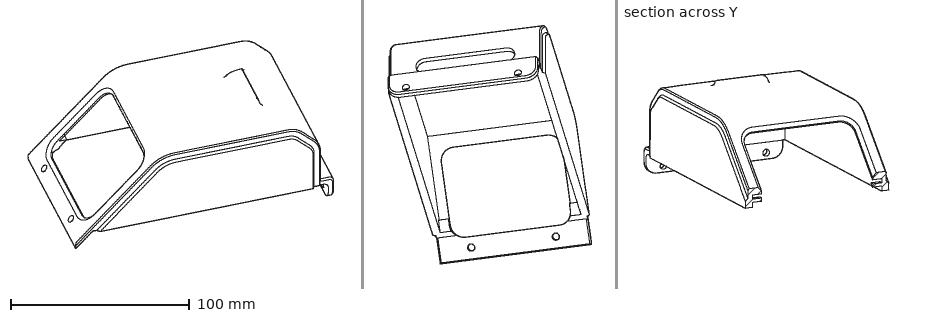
import cadquery as cq
import math


WALL = 3.0
HALF_WIDTH = 43.2
SIDE_HEIGHT = 43.5
CROWN_RISE = 0.25
REAR_BEVEL_Z = 29.3
SLOPE_ANGLE = 45.0
REAR_ROUND = 12.0
FRONT_ROUND = 20.5
SLOPE_FOOT = 137.8
SIDE_CHAMFER = 0.8
TOTAL_HEIGHT = 59.34
INNER_BEVEL_Z = 22.0

LIP_REACH = 144.47
LIP_BOTTOM = -10.0
LIP_ROUND = 3.4
LIP_ROOT_Z = 2.0

PANEL_INSET = 4.0
PANEL_RISE = 1.6
PANEL_BEVEL = 1.1
LEDGE_Z = 10.1
LEDGE_HEIGHT = 0.5
LEDGE_DEPTH = 0.1

WINDOW_WIDTH = 73.5
WINDOW_LENGTH = 55.4
WINDOW_CENTRE_Z = 19.0
WINDOW_CORNER = 10.0
WINDOW_DEPTH = 10.0
WINDOW_BEVEL_DEPTH = 1.8
WINDOW_BEVEL_INSET = 2.2

PAD_THICKNESS = 3.0
PAD_HEIGHT = 5.0
PAD_INNER_X = 30.0

HOLE_OFFSET_X = 0.3
LIP_HOLE_DIAMETER = 4.0
LIP_HOLE_SPACING = 48.3
LIP_HOLE_Z = -3.4
SLOT_LENGTH = 56.4
SLOT_HEIGHT = 10.2
SLOT_Z = 12.8

TAB_REACH = 8.1
TAB_TOP = 3.5
TAB_BOTTOM = -12.2
TAB_HALF_WIDTH = 42.7
TAB_THICKNESS = 3.5
TAB_OUTER_ROUND = 3.0
TAB_INNER_ROUND = 3.0
TAB_ROOT_ROUND = 1.2
TAB_CORNER = 6.6
TAB_CHAMFER = 1.0
TAB_HOLE_DIAMETER = 4.0
TAB_HOLE_SPACING = 64.0
TAB_HOLE_Z = -8.4

GRIP_TOP = TAB_BOTTOM + TOTAL_HEIGHT
GRIP_REAR_Y = -27.2
GRIP_FLAT_END_Y = -32.5
GRIP_FRONT_Y = -40.0
GRIP_ARC_DROP = 0.9
GRIP_REAR_HALF = 15.3
GRIP_FRONT_HALF = 13.4
GRIP_SINK = 2.0
GRIP_ROUND = 1.5
GRIP_FOOT_ROUND = 1.8

DIAGONAL = math.sqrt(2)
HALF_BEND = math.tan(math.radians(SLOPE_ANGLE / 2))
PROBE = 1.0


def extrude_across(points, half_width):
    """Extrude a (Y, Z) outline symmetrically about X = 0."""
    return cq.Workplane("YZ").polyline(points).close().extrude(half_width, both=True)


def shell_outline(inset, top, bevel_z):
    """Rear face, rear bevel, roof and front slope, all moved inward by inset."""
    rear = -inset
    slope_foot = -SLOPE_FOOT + inset * DIAGONAL
    return [
        (rear, 0),
        (rear, bevel_z),
        (rear - (top - bevel_z), top),
        (slope_foot + top, top),
        (slope_foot, 0),
    ]


def round_bends(solid, bend_y, bend_z, rear_radius, front_radius):
    """Round the two rear bends and the front bend of a shell_outline prism."""
    rear_y, rear_top_y, front_top_y = bend_y
    rear_z, top_z = bend_z

    def at(y, z):
        return cq.selectors.BoxSelector(
            (-HALF_WIDTH, y - PROBE, z - PROBE), (HALF_WIDTH, y + PROBE, z + PROBE)
        )

    solid = solid.edges(at(rear_y, rear_z)).fillet(rear_radius)
    solid = solid.edges(at(rear_top_y, top_z)).fillet(rear_radius)
    return solid.edges(at(front_top_y, top_z)).fillet(front_radius)


def make_body():
    """Solid body with a slightly crowned roof, before it is hollowed."""
    top = SIDE_HEIGHT + CROWN_RISE
    outline = shell_outline(0, top, REAR_BEVEL_Z)
    body = extrude_across(outline, HALF_WIDTH)
    crown = (
        cq.Workplane("XZ", origin=(0, TAB_REACH, 0))
        .moveTo(-HALF_WIDTH, SIDE_HEIGHT)
        .threePointArc((0, top), (HALF_WIDTH, SIDE_HEIGHT))
        .lineTo(HALF_WIDTH, 2 * LIP_BOTTOM)
        .lineTo(-HALF_WIDTH, 2 * LIP_BOTTOM)
        .close()
        .extrude(LIP_REACH + 2 * TAB_REACH)
    )
    body = body.intersect(crown)
    bend_y = (0, REAR_BEVEL_Z - SIDE_HEIGHT, SIDE_HEIGHT - SLOPE_FOOT)
    body = round_bends(body, bend_y, (REAR_BEVEL_Z, SIDE_HEIGHT), REAR_ROUND, FRONT_ROUND)
    return body.faces("<X or >X").edges("not <Z").chamfer(SIDE_CHAMFER)


def make_lip():
    """Slab that carries the slope on below the side walls; its upper end is buried in the body."""
    underside_foot = -SLOPE_FOOT + WALL * DIAGONAL
    lip = extrude_across(
        [
            (LIP_ROOT_Z - SLOPE_FOOT, LIP_ROOT_Z),
            (-LIP_REACH, SLOPE_FOOT - LIP_REACH),
            (-LIP_REACH, LIP_BOTTOM),
            (underside_foot + LIP_BOTTOM, LIP_BOTTOM),
            (underside_foot + LIP_ROOT_Z, LIP_ROOT_Z),
        ],
        HALF_WIDTH,
    )
    brow = cq.selectors.NearestToPointSelector((0, -LIP_REACH, SLOPE_FOOT - LIP_REACH))
    lip = lip.edges(brow).fillet(LIP_ROUND)
    bar = cq.Workplane("XY").box(2 * HALF_WIDTH, 2 * LIP_REACH, WALL).edges("|Y").chamfer(SIDE_CHAMFER)
    bar = bar.translate((0, 0, -WALL / 2)).rotate((0, 0, 0), (1, 0, 0), SLOPE_ANGLE)
    return lip.intersect(bar.translate((0, -SLOPE_FOOT, 0)))


def make_cavity():
    """Hollow of the body, open at the bottom, with a sharp 45 degree bevel at the rear."""
    top = SIDE_HEIGHT - WALL
    return extrude_across(shell_outline(WALL, top, INNER_BEVEL_Z), HALF_WIDTH - WALL)


def panel_rim(inset, x):
    """Wire of the body outline moved inward by inset, lying in the plane at x."""
    top = SIDE_HEIGHT - inset
    bevel_z = REAR_BEVEL_Z - inset * HALF_BEND
    points = shell_outline(inset, top, bevel_z)
    plate = cq.Workplane("YZ").polyline(points).close().extrude(1)
    bend_y = [y for y, z in points[1:4]]
    plate = round_bends(plate, bend_y, (bevel_z, top), REAR_ROUND - inset, FRONT_ROUND - inset)
    return plate.faces("<X").wires().val().translate(cq.Vector(x, 0, 0))


def make_panel(side):
    """Raised side panel with a bevelled rim, open-ended at the lower edge."""
    root = panel_rim(PANEL_INSET, side * HALF_WIDTH)
    face = panel_rim(PANEL_INSET + PANEL_BEVEL, side * (HALF_WIDTH + PANEL_RISE))
    return cq.Workplane(obj=cq.Solid.makeLoft([root, face], True))


def slope_plane(z):
    """Plane lying on the outer slope at height z, its normal pointing out."""
    return cq.Plane(origin=(0, z - SLOPE_FOOT, z), xDir=(1, 0, 0), normal=(0, -1, 1))


def window_outline(inset):
    sketch = cq.Sketch().rect(WINDOW_WIDTH - 2 * inset, WINDOW_LENGTH - 2 * inset)
    return sketch.vertices().fillet(WINDOW_CORNER - inset)


def make_window():
    """Cutter for the window: a bevelled mouth leading into a straight opening."""
    plane = slope_plane(WINDOW_CENTRE_Z)
    bevel_floor = cq.Location(cq.Vector(0, 0, -WINDOW_BEVEL_DEPTH))
    bevel = (
        cq.Workplane(plane)
        .placeSketch(window_outline(0), window_outline(WINDOW_BEVEL_INSET).moved(bevel_floor))
        .loft()
    )
    through = cq.Workplane(plane).placeSketch(window_outline(WINDOW_BEVEL_INSET)).extrude(-WINDOW_DEPTH)
    return bevel.union(through)


def hole_pair(spacing):
    return [(HOLE_OFFSET_X - spacing / 2, 0), (HOLE_OFFSET_X + spacing / 2, 0)]


def make_lip_holes():
    holes = cq.Workplane(slope_plane(LIP_HOLE_Z)).pushPoints(hole_pair(LIP_HOLE_SPACING))
    return holes.circle(LIP_HOLE_DIAMETER / 2).extrude(2 * WALL, both=True)


def make_slot():
    return (
        cq.Workplane("XZ", origin=(0, 0, SLOT_Z))
        .slot2D(SLOT_LENGTH, SLOT_HEIGHT)
        .extrude(2 * WALL, both=True)
    )


def make_tab():
    """Hooked flange that leaves the rear wall and turns down."""
    inner_y = TAB_REACH - TAB_THICKNESS
    root_top = TAB_TOP + 2 * TAB_ROOT_ROUND
    tab = extrude_across(
        [
            (-WALL / 2, 0),
            (-WALL / 2, root_top),
            (0, root_top),
            (0, TAB_TOP),
            (TAB_REACH, TAB_TOP),
            (TAB_REACH, TAB_BOTTOM),
            (inner_y, TAB_BOTTOM),
            (inner_y, 0),
        ],
        TAB_HALF_WIDTH,
    )
    bends = (
        (inner_y, 0, TAB_INNER_ROUND),
        (TAB_REACH, TAB_TOP, TAB_OUTER_ROUND),
        (0, TAB_TOP, TAB_ROOT_ROUND),
    )
    for y, z, radius in bends:
        tab = tab.edges(cq.selectors.NearestToPointSelector((0, y, z))).fillet(radius)
    tab = tab.edges("|Y and <Z").fillet(TAB_CORNER)
    tab = tab.faces(">Y").edges("not |X").chamfer(TAB_CHAMFER)
    holes = (
        cq.Workplane("XZ", origin=(0, 0, TAB_HOLE_Z))
        .pushPoints(hole_pair(TAB_HOLE_SPACING))
        .circle(TAB_HOLE_DIAMETER / 2)
        .extrude(-2 * TAB_REACH)
    )
    return tab.cut(holes)


def make_grip():
    """Wedge that tapers toward the front, with an arched front and a rounded top rim."""
    root = SIDE_HEIGHT - GRIP_SINK
    mid_y = (GRIP_FLAT_END_Y + GRIP_FRONT_Y) / 2
    side_shape = (
        cq.Workplane("YZ")
        .moveTo(GRIP_REAR_Y, root)
        .lineTo(GRIP_REAR_Y, GRIP_TOP)
        .lineTo(GRIP_FLAT_END_Y, GRIP_TOP)
        .threePointArc((mid_y, GRIP_TOP - GRIP_ARC_DROP), (GRIP_FRONT_Y, SIDE_HEIGHT))
        .lineTo(GRIP_FRONT_Y, root)
        .close()
        .extrude(HALF_WIDTH, both=True)
    )
    plan = (
        cq.Workplane("XY", origin=(0, 0, root))
        .polyline(
            [
                (-GRIP_REAR_HALF, GRIP_REAR_Y),
                (GRIP_REAR_HALF, GRIP_REAR_Y),
                (GRIP_FRONT_HALF, GRIP_FRONT_Y),
                (-GRIP_FRONT_HALF, GRIP_FRONT_Y),
            ]
        )
        .close()
        .extrude(HALF_WIDTH)
    )
    grip = side_shape.intersect(plan)
    top_rim = cq.selectors.BoxSelector(
        (-HALF_WIDTH, GRIP_FRONT_Y + GRIP_ROUND, SIDE_HEIGHT + PROBE),
        (HALF_WIDTH, GRIP_REAR_Y + GRIP_ROUND, GRIP_TOP + PROBE),
    )
    across_flat_end = cq.selectors.BoxSelector(
        (-PROBE, GRIP_FLAT_END_Y - PROBE, GRIP_TOP - PROBE),
        (PROBE, GRIP_FLAT_END_Y + PROBE, GRIP_TOP + PROBE),
    )
    return grip.edges(top_rim - across_flat_end).fillet(GRIP_ROUND)


def round_grip_foot(solid):
    """Blend the grip into the roof."""
    foot = cq.selectors.BoxSelector(
        (-GRIP_REAR_HALF - PROBE, GRIP_FRONT_Y - PROBE, SIDE_HEIGHT - PROBE),
        (GRIP_REAR_HALF + PROBE, GRIP_REAR_Y + PROBE, SIDE_HEIGHT + 2 * CROWN_RISE),
    )
    return solid.edges(foot).fillet(GRIP_FOOT_ROUND)


def make_corner_pads():
    """Thickening behind the lower window corners, between slope and side wall."""
    foot = -SLOPE_FOOT + WALL * DIAGONAL
    back = foot + PAD_THICKNESS * DIAGONAL
    pads = extrude_across(
        [(foot, 0), (back, 0), (back + PAD_HEIGHT, PAD_HEIGHT), (foot + PAD_HEIGHT, PAD_HEIGHT)],
        HALF_WIDTH - WALL,
    )
    gap = cq.Workplane("XY").box(2 * PAD_INNER_X, 3 * SLOPE_FOOT, 3 * PAD_HEIGHT)
    return pads.cut(gap)


def make_panel_ledge(side):
    """Cutter that sets the upper panel face back above a small slanted ledge."""
    face = side * (HALF_WIDTH + PANEL_RISE)
    outside = side * (HALF_WIDTH + 2 * PANEL_RISE)
    sunk = face - side * LEDGE_DEPTH
    return (
        cq.Workplane("XZ", origin=(0, TAB_REACH, 0))
        .polyline(
            [
                (face, LEDGE_Z),
                (sunk, LEDGE_Z + LEDGE_HEIGHT),
                (sunk, SIDE_HEIGHT),
                (outside, SIDE_HEIGHT),
                (outside, LEDGE_Z),
            ]
        )
        .close()
        .extrude(2 * SLOPE_FOOT)
    )


body = round_grip_foot(make_body().union(make_grip())).union(make_lip())
result = body.union(make_tab())
for side in (-1, 1):
    panel = make_panel(side).cut(make_panel_ledge(side))
    result = result.union(panel)
result = result.cut(make_cavity()).union(make_corner_pads())
for cutter in (make_window(), make_lip_holes(), make_slot()):
    result = result.cut(cutter)